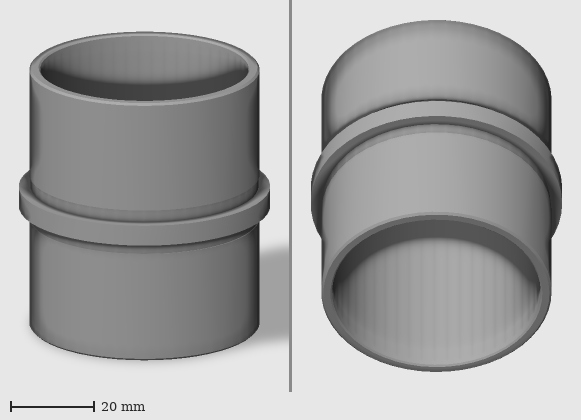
import cadquery as cq

length = 65.0
sleeve_diameter = 55.25
bore_diameter = 50.05
collar_diameter = 60.3
collar_width = 5.0
relief_width = 3.0
relief_depth = 0.25
outer_chamfer = 0.5
bore_chamfer = 0.4

sleeve_radius = sleeve_diameter / 2
bore_radius = bore_diameter / 2
collar_radius = collar_diameter / 2
relief_radius = sleeve_radius - relief_depth

end = length / 2
collar_edge = collar_width / 2
relief_edge = collar_edge + relief_width

upper_section = [
    (collar_radius, collar_edge),
    (relief_radius, collar_edge),
    (relief_radius, relief_edge),
    (sleeve_radius, relief_edge),
    (sleeve_radius, end - outer_chamfer),
    (sleeve_radius - outer_chamfer, end),
    (bore_radius + bore_chamfer, end),
    (bore_radius, end - bore_chamfer),
]

lower_section = [(radius, -height) for radius, height in reversed(upper_section)]

wall_outline = [(-radius, height) for radius, height in upper_section + lower_section]
result = (
    cq.Workplane("XZ")
    .polyline(wall_outline)
    .close()
    .revolve(360, (0, 0, 0), (0, 1, 0))
)